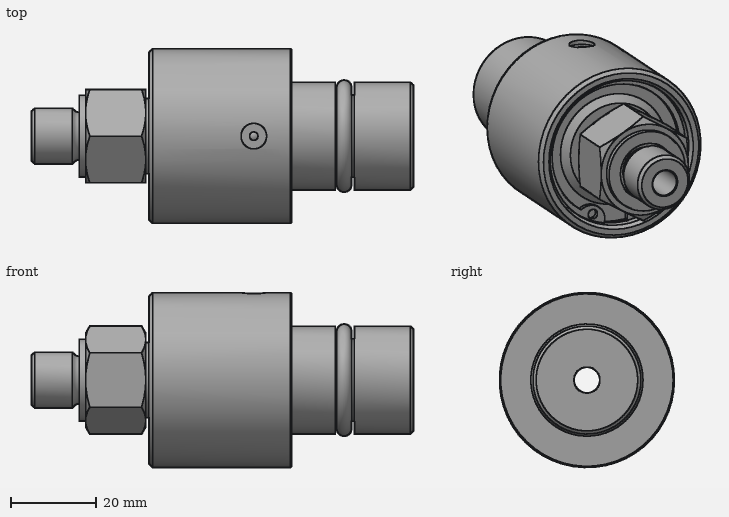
import cadquery as cq
import math

TOTAL_LENGTH = 89.71
BORE_DIA = 6.0
BORE_MOUTH_DIA = 6.4

STUD_DIA = 13.16
STUD_TIP_DIA = 11.69
STUD_TIP_CHAMFER_LENGTH = 0.85
STUD_END_X = 9.6
STUD_END_CHAMFER = 0.5
STUD_NECK_DIA = 11.2

COLLAR_START_X = 11.2
COLLAR_DIA = 19.25
COLLAR_RECESS_DIA = 13.5
COLLAR_RECESS_DEPTH = 1.3
HEX_START_X = 12.72
HEX_END_X = 26.85
HEX_ACROSS_FLATS = 22.0
HEX_CHAMFER_DEG = 30.0

ROTOR_DIA = 17.7

BODY_START_X = 27.55
BODY_END_X = 61.1
BODY_DIA = 41.07
BODY_FRONT_CHAMFER = 0.9
BODY_REAR_CHAMFER = 0.3

RECESS_DIA = 35.05
RECESS_MOUTH_DIA = 36.5
RECESS_CHAMFER_DEPTH = 1.0
RECESS_DEPTH = 4.8
HUB_BASE_DIA = 26.8
HUB_TOP_DIA = 23.0
HUB_HEIGHT = 1.5

RING_SETBACK = 3.2
RING_THICKNESS = 1.2
RING_GROOVE_DIA = 37.54
RING_INNER_DIA = 32.3
LUG_DIA = 7.3
LUG_ANGLE = 21.6
LUG_HOLE_DIA = 2.31
LUG_HOLE_SIDE_OFFSET = 5.85
LUG_HOLE_DROP = 14.85

SPOT_FACE_X = 52.2
SPOT_FACE_DIA = 6.0
SPOT_FACE_DEPTH = 1.0
DOME_DIA = 1.98
DOME_HEIGHT = 0.3

SPIGOT_DIA = 25.35
SPIGOT_CHAMFER = 0.75
GROOVE_START_X = 71.35
GROOVE_END_X = 75.8
GROOVE_DIA = 19.4
O_RING_X = 73.4
O_RING_OUTER_DIA = 26.35
O_RING_SECTION_DIA = 3.53

RECESS_FLOOR_X = BODY_START_X + RECESS_DEPTH
RING_FRONT_X = BODY_START_X + RING_SETBACK
RING_REAR_X = RING_FRONT_X + RING_THICKNESS


def disc(diameter, start_x, end_x):
    return cq.Workplane("YZ", origin=(start_x, 0, 0)).circle(diameter / 2).extrude(end_x - start_x)


def revolve_about_x(profile):
    return profile.close().revolve(360, (0, 0, 0), (1, 0, 0))


def make_stud():
    """Chamfered stud that runs through a fillet into its undercut neck."""
    radius = STUD_DIA / 2
    neck_radius = STUD_NECK_DIA / 2
    chamfer_end_x = STUD_END_X + STUD_END_CHAMFER
    chamfer_end_radius = radius - STUD_END_CHAMFER
    fillet_radius = (chamfer_end_radius - neck_radius) / (1 - math.cos(math.pi / 4))
    fillet_end_x = chamfer_end_x + fillet_radius * math.sin(math.pi / 4)
    profile = (
        cq.Workplane("XY")
        .lineTo(0, STUD_TIP_DIA / 2)
        .lineTo(STUD_TIP_CHAMFER_LENGTH, radius)
        .lineTo(STUD_END_X, radius)
        .lineTo(chamfer_end_x, chamfer_end_radius)
        .radiusArc((fillet_end_x, neck_radius), -fillet_radius)
        .lineTo(HEX_START_X, neck_radius)
        .lineTo(HEX_START_X, 0)
    )
    return revolve_about_x(profile)


def make_collar():
    collar = disc(COLLAR_DIA, COLLAR_START_X, HEX_START_X)
    recess = disc(COLLAR_RECESS_DIA, COLLAR_START_X, COLLAR_START_X + COLLAR_RECESS_DEPTH)
    return collar.cut(recess)


def make_hexagon():
    """Hexagon with corners on the Z axis, chamfered conically at both ends."""
    across_corners = HEX_ACROSS_FLATS / math.cos(math.pi / 6)
    length = HEX_END_X - HEX_START_X
    prism = (
        cq.Workplane("YZ", origin=(HEX_START_X, 0, 0))
        .transformed(rotate=(0, 0, 90))
        .polygon(6, across_corners)
        .extrude(length)
    )
    end_radius = HEX_ACROSS_FLATS / 2
    corner_radius = across_corners / 2
    chamfer_length = (corner_radius - end_radius) * math.tan(math.radians(HEX_CHAMFER_DEG))
    excess = 1.5
    peak_offset = chamfer_length * excess
    peak_radius = end_radius + (corner_radius - end_radius) * excess
    envelope = revolve_about_x(
        cq.Workplane("XY")
        .moveTo(HEX_START_X, 0)
        .lineTo(HEX_START_X, end_radius)
        .lineTo(HEX_START_X + peak_offset, peak_radius)
        .lineTo(HEX_END_X - peak_offset, peak_radius)
        .lineTo(HEX_END_X, end_radius)
        .lineTo(HEX_END_X, 0)
    )
    return prism.intersect(envelope)


def make_body():
    """Body with its grooved front recess, tapered hub and rear spigot."""
    radius = BODY_DIA / 2
    spigot_radius = SPIGOT_DIA / 2
    groove_radius = GROOVE_DIA / 2
    recess_radius = RECESS_DIA / 2
    hub_top_x = RECESS_FLOOR_X - HUB_HEIGHT
    profile = (
        cq.Workplane("XY")
        .moveTo(hub_top_x, 0)
        .lineTo(hub_top_x, HUB_TOP_DIA / 2)
        .lineTo(RECESS_FLOOR_X, HUB_BASE_DIA / 2)
        .lineTo(RECESS_FLOOR_X, recess_radius)
        .lineTo(RING_REAR_X, recess_radius)
        .lineTo(RING_REAR_X, RING_GROOVE_DIA / 2)
        .lineTo(RING_FRONT_X, RING_GROOVE_DIA / 2)
        .lineTo(RING_FRONT_X, recess_radius)
        .lineTo(BODY_START_X + RECESS_CHAMFER_DEPTH, recess_radius)
        .lineTo(BODY_START_X, RECESS_MOUTH_DIA / 2)
        .lineTo(BODY_START_X, radius - BODY_FRONT_CHAMFER)
        .lineTo(BODY_START_X + BODY_FRONT_CHAMFER, radius)
        .lineTo(BODY_END_X - BODY_REAR_CHAMFER, radius)
        .lineTo(BODY_END_X, radius - BODY_REAR_CHAMFER)
        .lineTo(BODY_END_X, spigot_radius)
        .lineTo(GROOVE_START_X, spigot_radius)
        .lineTo(GROOVE_START_X, groove_radius)
        .lineTo(GROOVE_END_X, groove_radius)
        .lineTo(GROOVE_END_X, spigot_radius)
        .lineTo(TOTAL_LENGTH - SPIGOT_CHAMFER, spigot_radius)
        .lineTo(TOTAL_LENGTH, spigot_radius - SPIGOT_CHAMFER)
        .lineTo(TOTAL_LENGTH, 0)
    )
    return revolve_about_x(profile)


def make_o_ring():
    section_radius = O_RING_SECTION_DIA / 2
    center_radius = O_RING_OUTER_DIA / 2 - section_radius
    section = cq.Workplane("XY").moveTo(O_RING_X, center_radius).circle(section_radius)
    return section.revolve(360, (0, 0, 0), (1, 0, 0))


def make_retaining_ring():
    """Open ring whose gap points to -Z, ending in a drilled lug on each side."""
    bore_radius = RECESS_DIA / 2
    angle = math.radians(LUG_ANGLE)
    lug_y = bore_radius * math.sin(angle)
    lug_z = -bore_radius * math.cos(angle)
    gap = (
        cq.Workplane("YZ", origin=(RING_FRONT_X, 0, 0))
        .polyline([(0, 0), (2 * lug_y, 2 * lug_z), (-2 * lug_y, 2 * lug_z)])
        .close()
        .extrude(RING_THICKNESS)
    )
    outer_disc = disc(RING_GROOVE_DIA, RING_FRONT_X, RING_REAR_X)
    ring = outer_disc.cut(disc(RING_INNER_DIA, RING_FRONT_X, RING_REAR_X)).cut(gap)
    lugs = (
        cq.Workplane("YZ", origin=(RING_FRONT_X, 0, 0))
        .pushPoints([(lug_y, lug_z), (-lug_y, lug_z)])
        .circle(LUG_DIA / 2)
        .extrude(RING_THICKNESS)
    )
    holes = (
        cq.Workplane("YZ", origin=(RING_FRONT_X, 0, 0))
        .pushPoints([(side * LUG_HOLE_SIDE_OFFSET, -LUG_HOLE_DROP) for side in (1, -1)])
        .circle(LUG_HOLE_DIA / 2)
        .extrude(RING_THICKNESS)
    )
    return ring.union(lugs.intersect(outer_disc)).cut(holes)


def make_spot_face_cutter():
    """Flat-bottomed cut that leaves a spherical dome standing at its center."""
    top_z = BODY_DIA / 2
    floor_z = top_z - SPOT_FACE_DEPTH
    dome_radius = DOME_DIA / 2
    sphere_radius = (dome_radius**2 + DOME_HEIGHT**2) / (2 * DOME_HEIGHT)
    spot_face_edge_x = SPOT_FACE_X + SPOT_FACE_DIA / 2
    return (
        cq.Workplane("XZ")
        .moveTo(SPOT_FACE_X, floor_z + DOME_HEIGHT)
        .radiusArc((SPOT_FACE_X + dome_radius, floor_z), sphere_radius)
        .lineTo(spot_face_edge_x, floor_z)
        .lineTo(spot_face_edge_x, top_z)
        .lineTo(SPOT_FACE_X, top_z)
        .close()
        .revolve(360, (SPOT_FACE_X, 0, 0), (SPOT_FACE_X, 1, 0))
    )


def make_bore_cutter():
    """Through bore with a chamfered mouth in the stud tip."""
    chamfer = (BORE_MOUTH_DIA - BORE_DIA) / 2
    profile = (
        cq.Workplane("XY")
        .lineTo(0, BORE_MOUTH_DIA / 2)
        .lineTo(chamfer, BORE_DIA / 2)
        .lineTo(TOTAL_LENGTH, BORE_DIA / 2)
        .lineTo(TOTAL_LENGTH, 0)
    )
    return revolve_about_x(profile)


result = (
    make_stud()
    .union(make_collar())
    .union(make_hexagon())
    .union(disc(ROTOR_DIA, HEX_END_X, RECESS_FLOOR_X))
    .union(make_body())
    .union(make_o_ring())
    .union(make_retaining_ring())
    .cut(make_spot_face_cutter())
    .cut(make_bore_cutter())
)